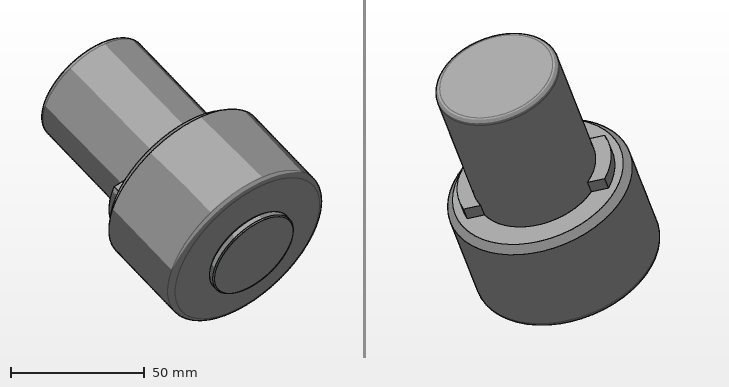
import cadquery as cq

stem_length = 55.5
collar_length = 41.0
overall_length = 100.5
disc_thickness = 3.0

stem_radius = 24.0
stem_round = 2.0

collar_radius = 36.0
collar_chamfer = 2.75
collar_round = 2.0

disc_radius = 19.0
disc_chamfer = 0.5
neck_radius = 14.25
neck_fillet = 0.5

lug_length = 5.0
lug_width = 24.0
lug_outer_radius = 30.0

collar_end = stem_length + collar_length
disc_start = overall_length - disc_thickness


def cylinder(start, length, radius):
    """Solid cylinder along X, starting at the given X position."""
    return cq.Workplane("YZ", origin=(start, 0, 0)).circle(radius).extrude(length)


def make_stem():
    return cylinder(0, stem_length, stem_radius).faces("<X").edges().fillet(stem_round)


def make_collar():
    """Collar chamfered toward the stem and rounded at the back."""
    collar = cylinder(stem_length, collar_length, collar_radius)
    collar = collar.faces("<X").edges().chamfer(collar_chamfer)
    return collar.faces(">X").edges().fillet(collar_round)


def make_lugs():
    """Two opposite lugs on the collar face, with outer sides concentric to the stem."""
    lug_start = stem_length - lug_length
    bar = cq.Workplane("XY").box(lug_length, 2 * lug_outer_radius, lug_width)
    bar = bar.translate((lug_start + lug_length / 2, 0, 0))
    return cylinder(lug_start, lug_length, lug_outer_radius).intersect(bar)


def make_end_disc():
    """Thin disc with chamfered rims, held off the collar by a short neck filleted into it."""
    disc = cylinder(disc_start, disc_thickness, disc_radius).edges().chamfer(disc_chamfer)
    neck = cylinder(collar_end, disc_start - collar_end, neck_radius)
    neck_corner = cq.selectors.RadiusNthSelector(0)
    return neck.union(disc).faces("<X[1]").edges(neck_corner).fillet(neck_fillet)


result = make_stem().union(make_collar()).union(make_lugs()).union(make_end_disc())